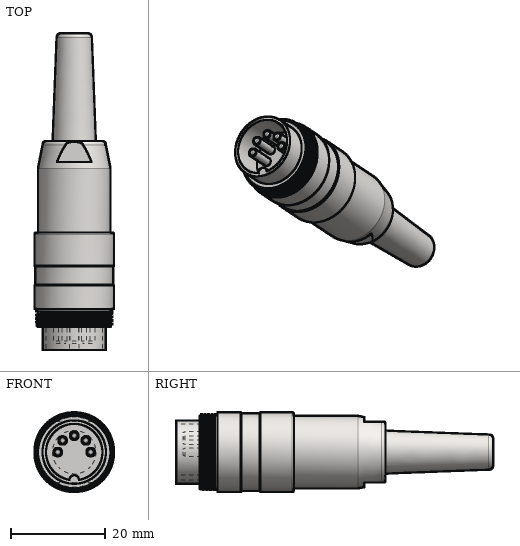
import cadquery as cq
import math


thread_front = 4.95
thread_rear = 8.25
collar_front = 8.75
band_front = 13.7
band_rear = 17.95
collar_rear = 25.0
cone_front = 38.6
cone_rear = 43.65
body_rear = 44.5
overall_length = 67.4
joint_overlap = 1.0

shell_diameter = 13.5
thread_root_diameter = 15.4
shoulder_diameter = 16.2
collar_diameter = 17.0
band_diameter = 16.6
body_diameter = 15.5
cone_small_diameter = 13.5
sleeve_large_diameter = 9.25
sleeve_small_diameter = 7.5

band_step_length = 0.2
collar_fillet = 0.4
sleeve_end_fillet = 1.0

flat_distance = 6.5
flat_front = 40.0

thread_pitch = 0.75
thread_turns = 4.4
thread_start = 4.81
thread_crest_width = 0.12
thread_overlap = 0.1
lead_in_angle = 45.0

socket_diameter = 12.0
socket_depth = 8.0
key_radius = 1.0
key_centre_radius = 5.9
pin_count = 5
pin_spacing_angle = 45.0
pin_circle_radius = 3.5
pin_diameter = 1.82
pin_tip_diameter = 1.48
pin_tip_length = 0.5
pin_tip_fillet = 0.35
pin_front = 1.4


def cylinder(diameter, start, end, x=0.0, z=0.0, taper=0.0):
    """Make a cylinder parallel to Y between two stations; a negative taper widens it."""
    plane = cq.Plane(origin=(x, start, z), xDir=(1, 0, 0), normal=(0, 1, 0))
    return cq.Workplane(plane).circle(diameter / 2).extrude(end - start, taper=taper)


def make_front():
    """Turn the plug shell, the thread core and the grip collar with its recessed band."""
    outline = [
        (0, 0),
        (shell_diameter / 2, 0),
        (shell_diameter / 2, thread_front),
        (thread_root_diameter / 2, thread_front),
        (thread_root_diameter / 2, thread_rear),
        (shoulder_diameter / 2, thread_rear),
        (shoulder_diameter / 2, collar_front),
        (collar_diameter / 2, collar_front),
        (collar_diameter / 2, band_front),
        (band_diameter / 2, band_front + band_step_length),
        (band_diameter / 2, band_rear - band_step_length),
        (collar_diameter / 2, band_rear),
        (collar_diameter / 2, collar_rear),
        (0, collar_rear),
    ]
    front = cq.Workplane("XY").polyline(outline).close().revolve(360, (0, 0), (0, 1))
    return front.faces(">Y").edges().fillet(collar_fillet)


def make_body():
    """Turn the rear body with its cone, round its end and cut two opposite flats."""
    end_radius = body_rear - cone_rear
    outline = (
        cq.Workplane("XY")
        .moveTo(0, collar_rear - joint_overlap)
        .lineTo(body_diameter / 2, collar_rear - joint_overlap)
        .lineTo(body_diameter / 2, cone_front)
        .lineTo(cone_small_diameter / 2, cone_rear)
        .radiusArc((cone_small_diameter / 2 - end_radius, body_rear), -end_radius)
        .lineTo(0, body_rear)
        .close()
    )
    body = outline.revolve(360, (0, 0), (0, 1))
    flat_length = body_rear - flat_front
    for side in (1, -1):
        cutter = cq.Workplane("XY").box(body_diameter, flat_length, body_diameter)
        height = side * (flat_distance + body_diameter / 2)
        body = body.cut(cutter.translate((0, flat_front + flat_length / 2, height)))
    return body


def make_sleeve():
    """Turn the tapered cable sleeve and round its free end."""
    outline = [
        (0, body_rear - joint_overlap),
        (sleeve_large_diameter / 2, body_rear - joint_overlap),
        (sleeve_large_diameter / 2, body_rear),
        (sleeve_small_diameter / 2, overall_length),
        (0, overall_length),
    ]
    sleeve = cq.Workplane("XY").polyline(outline).close().revolve(360, (0, 0), (0, 1))
    return sleeve.faces(">Y").edges().fillet(sleeve_end_fillet)


def make_thread():
    """Sweep the right-hand thread ridge, lay it along Y and trim it with a lead-in chamfer."""
    root = thread_root_diameter / 2 - thread_overlap
    crest = shoulder_diameter / 2
    half_root = thread_pitch * 0.4
    half_crest = thread_crest_width / 2
    helix = cq.Wire.makeHelix(thread_pitch, thread_pitch * thread_turns, root)
    section = [(root, -half_root), (crest, -half_crest), (crest, half_crest), (root, half_root)]
    ridge = cq.Workplane("XZ").polyline(section).close().sweep(cq.Workplane(helix), isFrenet=True)
    ridge = ridge.rotate((0, 0, 0), (1, 0, 0), -90).translate((0, thread_start, 0))
    envelope = cylinder(thread_root_diameter, thread_front, collar_front, taper=-lead_in_angle)
    return ridge.intersect(envelope)


def make_key():
    """Make the rounded polarising key along the bottom of the socket."""
    rod = cylinder(2 * key_radius, 0, socket_depth, z=-key_centre_radius)
    return rod.intersect(cylinder((socket_diameter + shell_diameter) / 2, 0, socket_depth))


def make_pin(angle):
    """Make one contact pin with a smaller rounded tip."""
    x = pin_circle_radius * math.cos(math.radians(angle))
    z = pin_circle_radius * math.sin(math.radians(angle))
    tip_rear = pin_front + pin_tip_length
    shank = cylinder(pin_diameter, tip_rear, socket_depth + joint_overlap, x, z)
    tip = cylinder(pin_tip_diameter, pin_front, tip_rear, x, z)
    return shank.union(tip.faces("<Y").edges().fillet(pin_tip_fillet))


result = make_front().union(make_thread()).union(make_body()).union(make_sleeve())
result = result.cut(cylinder(socket_diameter, 0, socket_depth)).union(make_key())
for index in range(pin_count):
    result = result.union(make_pin(index * pin_spacing_angle))